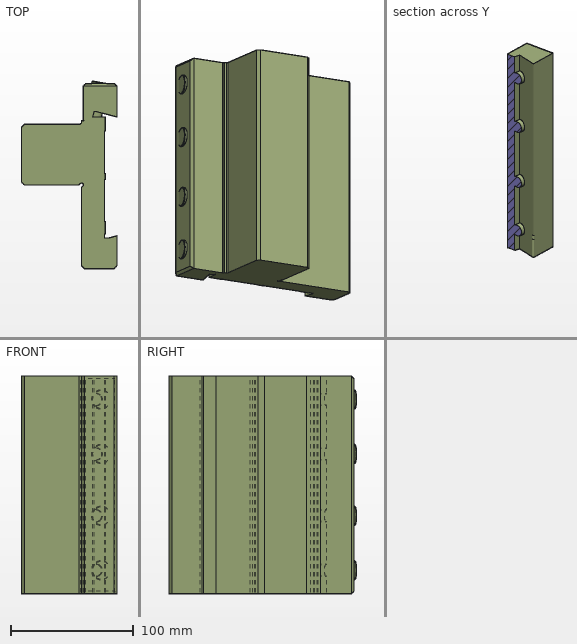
import cadquery as cq
import math

length = 177.8
depth = 78.0
corner_chamfer = 2.5

plate_back = 48.9
block_low = 68.3
block_high = 118.0
corner_relief_radius = 1.5
corner_relief_depth = 0.2
corner_bevel = 0.9
plate_end = 120.9

pad_face = 68.5
pad_relief = 0.5
first_pad_low = 28.3
first_pad_high = 38.4
middle_pad_low = 72.9
middle_pad_high = 77.9
last_pad_low = 112.4
last_pad_high = 124.0
relief_face = pad_face - pad_relief

jaw_angle = math.radians(15)
foot_lip = 27.0
jaw_lip = middle_pad_low + middle_pad_high - foot_lip
foot_groove_bottom = 25.2
slot_bottom_x = 58.1
slot_top_y = 128.5

jaw_back = 50.3
jaw_top = 151.1
jaw_chamfer = 2.1
jaw_edge_chamfer = 0.7

screw_tilt = 10.0
screw_heights = [length / 2 + offset for offset in (-69.7, -25.2, 25.2, 69.7)]
head_diameter = 15.8
shank_diameter = 10.0
head_height = 7.1
screw_length = 35.5
head_chamfer = 0.5
head_high_x = 58.1
head_high_y = 153.3


def make_profile():
    """Section of the block, plate, foot and clamp jaw, extruded along Z."""
    slope = math.tan(jaw_angle)
    foot_slope_start = depth - (foot_lip - foot_groove_bottom) / slope
    jaw_slope_start = depth - (slot_top_y - jaw_lip) / slope

    slot_top_x = slot_bottom_x + (slot_top_y - last_pad_high) * slope

    outline = [
        (0, block_low + corner_chamfer),
        (corner_chamfer, block_low),
        (plate_back, block_low),
        (plate_back, corner_chamfer),
        (plate_back + corner_chamfer, 0),
        (depth - corner_chamfer, 0),
        (depth, corner_chamfer),
        (depth, foot_lip),
        (foot_slope_start, foot_groove_bottom),
        (relief_face, foot_groove_bottom),
        (relief_face, first_pad_low),
        (pad_face, first_pad_low),
        (pad_face, first_pad_high),
        (relief_face, first_pad_high),
        (relief_face, middle_pad_low),
        (pad_face, middle_pad_low),
        (pad_face, middle_pad_high),
        (relief_face, middle_pad_high),
        (relief_face, last_pad_low),
        (pad_face, last_pad_low),
        (pad_face, last_pad_high),
        (slot_bottom_x, last_pad_high),
        (slot_top_x, slot_top_y),
        (jaw_slope_start, slot_top_y),
        (depth, jaw_lip),
        (depth, jaw_top),
        (jaw_back, jaw_top),
        (jaw_back, plate_end + jaw_edge_chamfer),
        (jaw_back + jaw_edge_chamfer, plate_end),
        (plate_back, plate_end),
        (plate_back, block_high + corner_bevel),
        (plate_back - corner_bevel, block_high),
        (corner_chamfer, block_high),
        (0, block_high - corner_chamfer),
    ]
    return cq.Workplane("XY").polyline(outline).close().extrude(length)


def make_corner_relief():
    """Round-bottomed groove cut diagonally into the corner of the block and foot."""
    diameter = 2 * corner_relief_radius
    return (
        cq.Workplane("XY")
        .center(plate_back + corner_relief_depth, block_low + corner_relief_depth)
        .transformed(rotate=(0, 0, 45))
        .center(-diameter / 2, 0)
        .slot2D(2 * diameter, diameter)
        .extrude(length)
    )


def make_screw(height):
    """Cap screw with its chamfered head standing proud of the clamp jaw."""
    tilt = math.radians(screw_tilt)
    flat_radius = head_diameter / 2 - head_chamfer
    head_top = cq.Plane(
        origin=(
            head_high_x + flat_radius * math.cos(tilt),
            head_high_y - flat_radius * math.sin(tilt),
            height,
        ),
        xDir=(0, 0, 1),
        normal=(math.sin(tilt), math.cos(tilt), 0),
    )
    head = cq.Workplane(head_top).circle(head_diameter / 2).extrude(-head_height)
    head = head.faces(">Y").edges().chamfer(head_chamfer)
    shank = cq.Workplane(head_top).circle(shank_diameter / 2).extrude(-screw_length)
    return head.union(shank)


result = make_profile().faces(">Y").chamfer(jaw_chamfer).cut(make_corner_relief())
for screw_height in screw_heights:
    result = result.union(make_screw(screw_height))